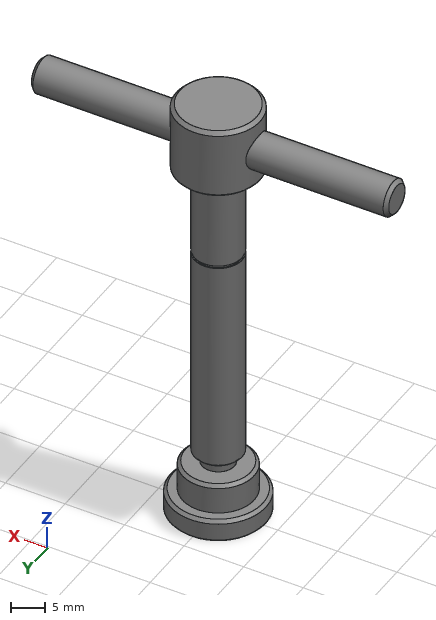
import cadquery as cq

total_height = 75.0

flange_diameter = 16.0
flange_height = 4.0
collar_diameter = 12.0
collar_top = 9.0
foot_chamfer = 0.5

neck_diameter = 5.4
shaft_diameter = 8.0
shaft_bottom = 10.7
shaft_chamfer = 0.5
groove_bottom = 47.6
groove_width = 0.45
groove_depth = 0.2

head_diameter = 14.0
head_height = 12.0
head_bottom = total_height - head_height
head_chamfer = 0.6
handle_length = 60.0
handle_diameter = 6.0
handle_chamfer = 0.6
handle_z = head_bottom + head_height / 2


def cylinder(diameter, bottom, top):
    """Vertical cylinder on the Z axis between two heights."""
    return cq.Workplane("XY").workplane(offset=bottom).circle(diameter / 2).extrude(top - bottom)


def make_foot():
    flange = cylinder(flange_diameter, 0, flange_height).edges().chamfer(foot_chamfer)
    collar = cylinder(collar_diameter, 0, collar_top).edges(">Z").chamfer(foot_chamfer)
    return flange.union(collar)


def make_spindle():
    neck = cylinder(neck_diameter, flange_height, head_bottom)
    shaft = cylinder(shaft_diameter, shaft_bottom, head_bottom).edges("<Z").chamfer(shaft_chamfer)
    groove_top = groove_bottom + groove_width
    groove_floor = cylinder(shaft_diameter - 2 * groove_depth, groove_bottom, groove_top)
    groove = cylinder(shaft_diameter, groove_bottom, groove_top).cut(groove_floor)
    return neck.union(shaft.cut(groove))


def make_head():
    return cylinder(head_diameter, head_bottom, total_height).edges().chamfer(head_chamfer)


def make_handle():
    bar = cq.Workplane("YZ").center(0, handle_z).circle(handle_diameter / 2)
    return bar.extrude(handle_length / 2, both=True).faces("<X or >X").edges().chamfer(handle_chamfer)


result = make_foot().union(make_spindle()).union(make_head()).union(make_handle())